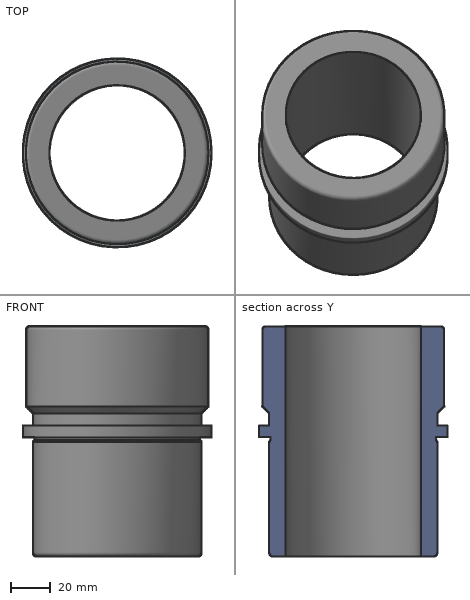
import cadquery as cq

total_height = 116.0
bore_radius = 34.0
body_radius = 42.5
end_fillet = 2.0

head_radius = 45.9
head_straight_height = 40.4
head_bottom = total_height - head_straight_height
taper_bottom = head_bottom - (head_radius - body_radius)

flange_radius = 47.6
flange_thickness = 6.0
flange_edge_fillet = 0.3
flange_bottom = 60.0

groove_depth = 0.7
groove_straight_height = 1.3
groove_taper_height = 0.9
groove_radius = body_radius - groove_depth
groove_taper_top = flange_bottom - groove_straight_height
groove_bottom = groove_taper_top - groove_taper_height


def disc(radius, bottom, height):
    """Solid cylinder on the Z axis."""
    return cq.Workplane("XY").workplane(offset=bottom).circle(radius).extrude(height)


def make_sleeve():
    """Revolved body and head, with the groove and both rounded ends."""
    profile = [
        (0, 0),
        (body_radius, 0),
        (body_radius, groove_bottom),
        (groove_radius, groove_taper_top),
        (groove_radius, flange_bottom),
        (body_radius, flange_bottom),
        (body_radius, taper_bottom),
        (head_radius, head_bottom),
        (head_radius, total_height),
        (0, total_height),
    ]
    sleeve = cq.Workplane("XZ").polyline(profile).close().revolve(360, (0, 0), (0, 1))
    sleeve = sleeve.faces(">Z").edges().fillet(end_fillet)
    return sleeve.faces("<Z").edges().fillet(end_fillet)


def make_flange():
    flange = disc(flange_radius, flange_bottom, flange_thickness)
    return flange.faces("|Z").edges().fillet(flange_edge_fillet)


bore = disc(bore_radius, 0, total_height)
result = make_sleeve().union(make_flange()).cut(bore)